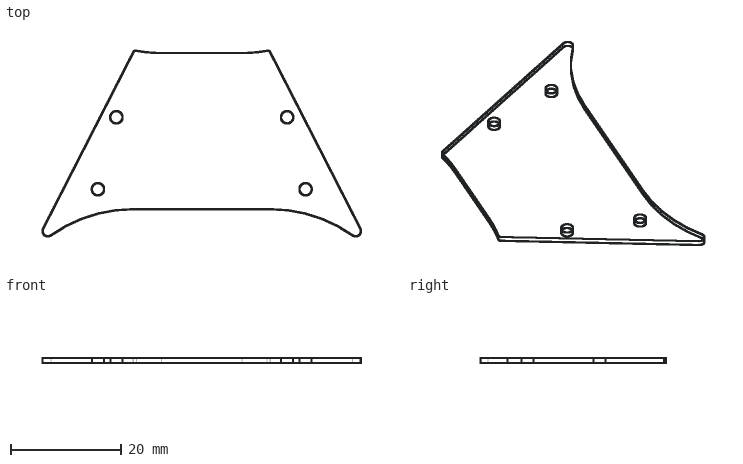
import cadquery as cq
import math

length = 57.75
thickness = 1.0
tip_radius = 1.0

rear_edge_y = 33.25
rear_straight_half = 7.3
rear_arc_radius = 25.65
rear_corner_x = 12.25
rear_corner_radius = 0.5

front_edge_y = 4.9
front_straight_half = 12.5

hole_diameter = 2.2
hole_positions = [(15.5, 21.6), (18.85, 8.55)]

tip_x = length / 2 - tip_radius
tip_y = tip_radius

front_dx = tip_x - front_straight_half
front_drop = front_edge_y - tip_y
front_arc_radius = (front_dx**2 + front_drop**2 - tip_radius**2) / (2 * (front_drop + tip_radius))
front_center_y = front_edge_y - front_arc_radius
front_tip_angle = math.atan2(tip_y - front_center_y, front_dx)

rear_center_y = rear_edge_y + rear_arc_radius


def rear_arc_point(x):
    dx = x - rear_straight_half
    return (x, rear_center_y - math.sqrt(rear_arc_radius**2 - dx**2))


def front_arc_point(angle):
    return (
        front_straight_half + front_arc_radius * math.cos(angle),
        front_center_y + front_arc_radius * math.sin(angle),
    )


def tip_point(angle):
    return (tip_x + tip_radius * math.cos(angle), tip_y + tip_radius * math.sin(angle))


def mirrored(point):
    return (-point[0], point[1])


rear_corner = rear_arc_point(rear_corner_x)
rear_arc_middle = rear_arc_point((rear_corner_x + rear_straight_half) / 2)

corner_dx = rear_corner[0] - tip_x
corner_dy = rear_corner[1] - tip_y
corner_distance = math.hypot(corner_dx, corner_dy)
side_angle = math.atan2(corner_dy, corner_dx) - math.acos(tip_radius / corner_distance)

tip_end_angle = front_tip_angle - math.pi
side_end = tip_point(side_angle)
tip_middle = tip_point((side_angle + tip_end_angle) / 2)
tip_end = tip_point(tip_end_angle)
front_arc_middle = front_arc_point((front_tip_angle + math.pi / 2) / 2)

plate = (
    cq.Workplane("XY")
    .moveTo(-rear_straight_half, rear_edge_y)
    .lineTo(rear_straight_half, rear_edge_y)
    .threePointArc(rear_arc_middle, rear_corner)
    .lineTo(*side_end)
    .threePointArc(tip_middle, tip_end)
    .threePointArc(front_arc_middle, (front_straight_half, front_edge_y))
    .lineTo(-front_straight_half, front_edge_y)
    .threePointArc(mirrored(front_arc_middle), mirrored(tip_end))
    .threePointArc(mirrored(tip_middle), mirrored(side_end))
    .lineTo(*mirrored(rear_corner))
    .threePointArc(mirrored(rear_arc_middle), (-rear_straight_half, rear_edge_y))
    .close()
    .extrude(thickness)
)

for corner in (rear_corner, mirrored(rear_corner)):
    corner_edge = cq.selectors.NearestToPointSelector((*corner, thickness / 2))
    plate = plate.edges("|Z").edges(corner_edge).fillet(rear_corner_radius)

holes = (
    cq.Workplane("XY")
    .pushPoints(hole_positions + [mirrored(position) for position in hole_positions])
    .circle(hole_diameter / 2)
    .extrude(thickness)
)

result = plate.cut(holes)